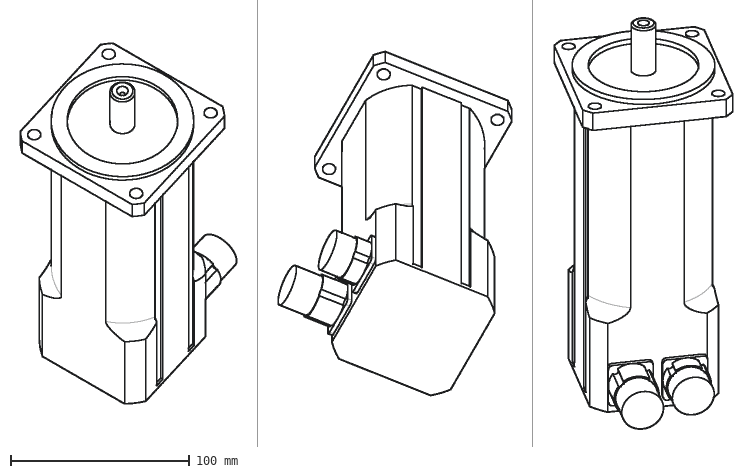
import cadquery as cq
import math


HOUSING_WIDTH = 74.0
HOUSING_TOP = 184.9
LOWER_CORNER_DIAMETER = 93.3
UPPER_CORNER_DIAMETER = 80.0
CORNER_CUT_BOTTOM = 65.5
CORNER_COVE_RADIUS = 9.0

GROOVE_INNER = 12.2
GROOVE_OUTER = 17.9
GROOVE_DEPTH = 1.4
GROOVE_BOTTOM = 3.5

FLANGE_WIDTH = 86.0
FLANGE_THICKNESS = 11.0
FLANGE_CORNER_DIAMETER = 115.0
MOUNT_HOLE_DIAMETER = 7.2
MOUNT_HOLE_SPACING = 70.7
PILOT_DIAMETER = UPPER_CORNER_DIAMETER
PILOT_HEIGHT = 3.2
RECESS_DIAMETER = 62.0
RECESS_DEPTH = 3.2

SHAFT_DIAMETER = 14.0
SHAFT_TOP = 226.0
SHAFT_CHAMFER = 1.1
CENTRE_HOLE_DIAMETER = 2.7
CENTRE_HOLE_DEPTH = 6.8
CENTRE_CONE_DIAMETER = 6.3
CENTRE_CONE_ANGLE = 60.0

CONNECTOR_OFFSET = 15.5
CONNECTOR_HEIGHT = 18.0
PLATE_WIDTH = 25.8
PLATE_THICKNESS = 2.5
PLATE_CORNER_RADIUS = 2.5
NUT_DIAMETER = PLATE_WIDTH
NOTCH_DIAMETER = 3.8
NOTCH_COUNT = 4
SLEEVE_DIAMETER = 24.0
SHORT_NUT_LENGTH = 9.0
SHORT_SLEEVE_LENGTH = 12.2
LONG_NUT_LENGTH = 15.1
LONG_SLEEVE_LENGTH = 16.3

FLANGE_TOP = HOUSING_TOP + FLANGE_THICKNESS
PILOT_TOP = FLANGE_TOP + PILOT_HEIGHT
RECESS_FLOOR = PILOT_TOP - RECESS_DEPTH
HOUSING_BACK = HOUSING_WIDTH / 2


def cylinder(diameter, bottom, top):
    """Upright cylinder on the drive axis."""
    return cq.Workplane("XY").workplane(offset=bottom).circle(diameter / 2).extrude(top - bottom)


def corner_envelope():
    """Round envelope that trims the column corners: wide below, a concave cove, narrow above."""
    lower_radius = LOWER_CORNER_DIAMETER / 2
    upper_radius = UPPER_CORNER_DIAMETER / 2
    cove_center = upper_radius + CORNER_COVE_RADIUS
    end_angle = math.acos((cove_center - lower_radius) / CORNER_COVE_RADIUS)
    middle_angle = end_angle / 2

    def cove_point(angle):
        return (
            cove_center - CORNER_COVE_RADIUS * math.cos(angle),
            CORNER_CUT_BOTTOM - CORNER_COVE_RADIUS * math.sin(angle),
        )

    return (
        cq.Workplane("XZ")
        .moveTo(0, 0)
        .lineTo(lower_radius, 0)
        .lineTo(*cove_point(end_angle))
        .threePointArc(cove_point(middle_angle), (upper_radius, CORNER_CUT_BOTTOM))
        .lineTo(upper_radius, HOUSING_TOP)
        .lineTo(0, HOUSING_TOP)
        .close()
        .revolve(360, (0, 0, 0), (0, 1, 0))
    )


def side_grooves():
    """Four grooves, two on each X side, running up to the flange."""
    centers = [
        (x_sign * HOUSING_WIDTH / 2, y_sign * (GROOVE_INNER + GROOVE_OUTER) / 2)
        for x_sign in (-1, 1)
        for y_sign in (-1, 1)
    ]
    return (
        cq.Workplane("XY")
        .workplane(offset=GROOVE_BOTTOM)
        .pushPoints(centers)
        .rect(2 * GROOVE_DEPTH, GROOVE_OUTER - GROOVE_INNER)
        .extrude(HOUSING_TOP - GROOVE_BOTTOM)
    )


def make_column():
    block = cq.Workplane("XY").rect(HOUSING_WIDTH, HOUSING_WIDTH).extrude(HOUSING_TOP)
    return block.intersect(corner_envelope()).cut(side_grooves())


def make_flange():
    plate = (
        cq.Workplane("XY")
        .workplane(offset=HOUSING_TOP)
        .rect(FLANGE_WIDTH, FLANGE_WIDTH)
        .extrude(FLANGE_THICKNESS)
        .intersect(cylinder(FLANGE_CORNER_DIAMETER, HOUSING_TOP, FLANGE_TOP))
        .faces(">Z")
        .workplane()
        .rect(MOUNT_HOLE_SPACING, MOUNT_HOLE_SPACING, forConstruction=True)
        .vertices()
        .hole(MOUNT_HOLE_DIAMETER)
    )
    pilot = cylinder(PILOT_DIAMETER, FLANGE_TOP, PILOT_TOP)
    recess = cylinder(RECESS_DIAMETER, RECESS_FLOOR, PILOT_TOP)
    return plate.union(pilot).cut(recess)


def make_shaft():
    return (
        cylinder(SHAFT_DIAMETER, RECESS_FLOOR, SHAFT_TOP)
        .faces(">Z")
        .chamfer(SHAFT_CHAMFER)
        .faces(">Z")
        .workplane()
        .cskHole(CENTRE_HOLE_DIAMETER, CENTRE_CONE_DIAMETER, CENTRE_CONE_ANGLE, CENTRE_HOLE_DEPTH)
    )


def make_motor():
    """Column, flange and shaft as one body."""
    return make_column().union(make_flange()).union(make_shaft())


def make_connector(x, nut_length, sleeve_length):
    """Square base plate, notched round nut and plain sleeve, pointing to +Y."""
    back = cq.Plane(origin=(x, HOUSING_BACK, CONNECTOR_HEIGHT), xDir=(1, 0, 0), normal=(0, 1, 0))
    plate = (
        cq.Workplane(back)
        .rect(PLATE_WIDTH, PLATE_WIDTH)
        .extrude(PLATE_THICKNESS)
        .edges("|Y")
        .fillet(PLATE_CORNER_RADIUS)
    )
    nut_base = cq.Workplane(back).workplane(offset=PLATE_THICKNESS)
    nut = nut_base.circle(NUT_DIAMETER / 2).extrude(nut_length)
    notches = (
        nut_base.polarArray(NUT_DIAMETER / 2, 360 / NOTCH_COUNT / 2, 360, NOTCH_COUNT)
        .circle(NOTCH_DIAMETER / 2)
        .extrude(nut_length)
    )
    sleeve = nut_base.workplane(offset=nut_length).circle(SLEEVE_DIAMETER / 2).extrude(sleeve_length)
    return plate.union(nut.cut(notches)).union(sleeve)


motor = make_motor()
connector_layout = [
    (-CONNECTOR_OFFSET, SHORT_NUT_LENGTH, SHORT_SLEEVE_LENGTH),
    (CONNECTOR_OFFSET, LONG_NUT_LENGTH, LONG_SLEEVE_LENGTH),
]
connectors = [make_connector(*layout) for layout in connector_layout]

result = cq.Compound.makeCompound([motor.val(), *[connector.val() for connector in connectors]])